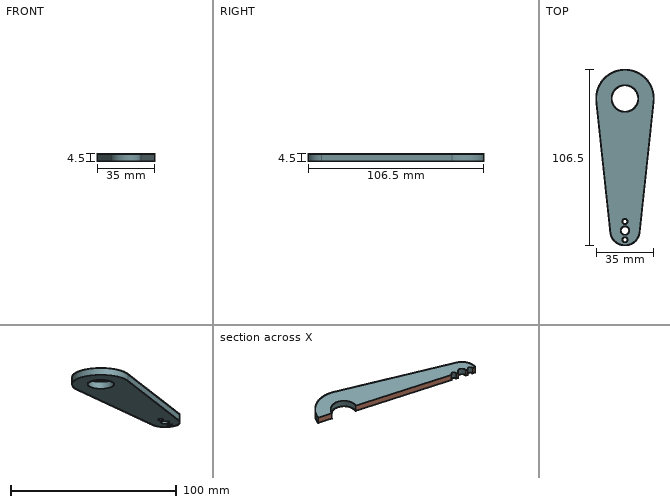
import cadquery as cq
import math

length = 106.5
thickness = 4.5

large_end_diameter = 35.0
large_end_radius = large_end_diameter / 2
small_end_diameter = 18.0
small_end_radius = small_end_diameter / 2
center_distance = length - large_end_radius - small_end_radius

large_bore_diameter = 16.0
small_bore_diameter = 5.0
pin_hole_diameter = 3.0
pin_hole_spacing = 5.5

small_end_y = -center_distance


def tapered_outline():
    """Two end arcs joined by their common outer tangents."""
    tangent_sin = (large_end_radius - small_end_radius) / center_distance
    tangent_cos = math.sqrt(1 - tangent_sin**2)
    large_x = large_end_radius * tangent_cos
    large_y = -large_end_radius * tangent_sin
    small_x = small_end_radius * tangent_cos
    small_y = small_end_y - small_end_radius * tangent_sin
    return (
        cq.Workplane("XY")
        .moveTo(large_x, large_y)
        .threePointArc((0, large_end_radius), (-large_x, large_y))
        .lineTo(-small_x, small_y)
        .threePointArc((0, small_end_y - small_end_radius), (small_x, small_y))
        .close()
    )


def through_hole(y, diameter):
    """Cutter for a hole on the arm's centreline."""
    return cq.Workplane("XY").center(0, y).circle(diameter / 2).extrude(thickness)


result = tapered_outline().extrude(thickness)

result = result.cut(through_hole(0, large_bore_diameter))
result = result.cut(through_hole(small_end_y, small_bore_diameter))

for side in (-1, 1):
    pin_y = small_end_y + side * pin_hole_spacing
    result = result.cut(through_hole(pin_y, pin_hole_diameter))